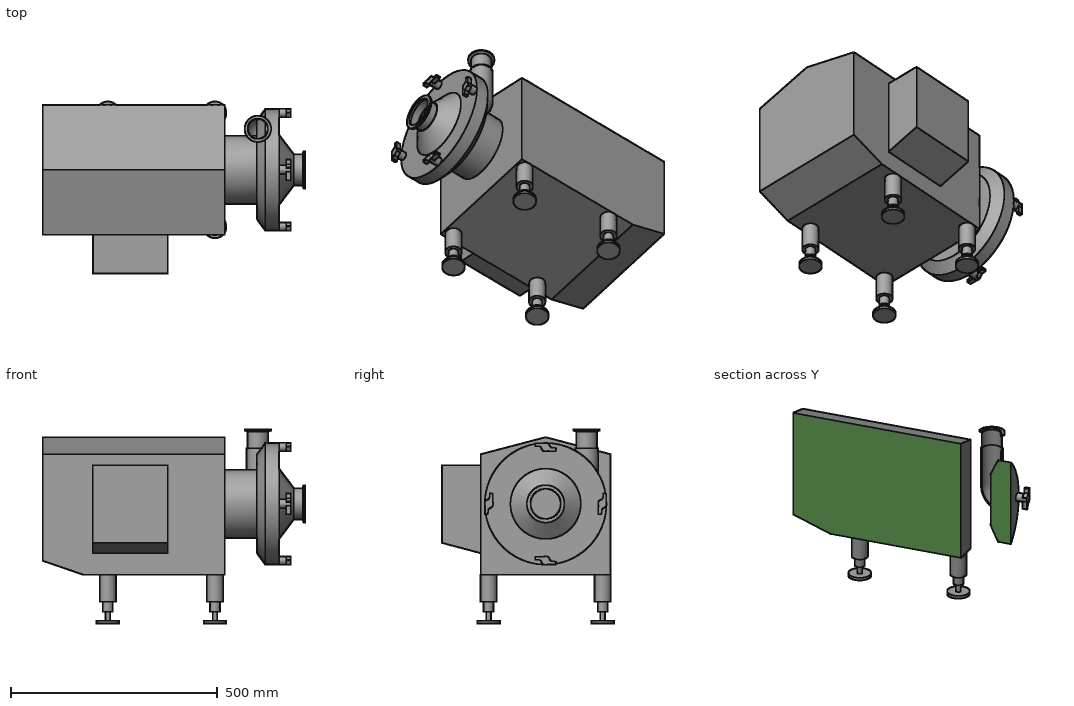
import cadquery as cq

total_length = 635.5
total_height = 470.0

housing_length = 441.0
housing_width = 314.5
housing_bottom = 118.0
eave_height = 410.0
ridge_height = 451.0
rear_slope_length = 98.0
rear_slope_top = 152.0

box_start = 121.5
box_length = 182.0
box_depth = 93.5
box_top = 383.0
box_inner_bottom = 170.0
box_outer_bottom = 195.0

foot_x_positions = (157.5, 417.0)
foot_y = 138.0
pad_diameter = 55.0
pad_thickness = 7.5
stem_diameter = 12.0
stem_top = 28.5
sleeve_diameter = 25.0
sleeve_top = 53.0
leg_diameter = 40.0

axis_height = 290.0
neck_diameter = 166.0
casing_back = 518.0
casing_back_diameter = 237.5
casing_rim = 538.0
casing_diameter = 294.0
casing_front = 572.0
cover_cone_diameter = 170.0
cover_cone_front = 607.5

inlet_diameter = 76.0
inlet_bore = 72.5
inlet_flange_diameter = 91.0
inlet_flange_cone_start = 628.5
inlet_flange_rim_start = 631.0

outlet_x = 520.5
outlet_y = 99.0
outlet_bore = 47.5
outlet_socket_diameter = 56.0
outlet_socket_top = 424.0
outlet_diameter = 51.0
outlet_flange_diameter = 64.0
outlet_flange_cone_start = 464.5
outlet_flange_rim_start = 467.0
outlet_bend_radius = 32.0

nut_count = 4
nut_circle_radius = 137.0
nut_hub_diameter = 21.0
wing_start = 589.0
nut_front = 600.5
wing_reach = 25.5
wing_outer_reach = 25.0
wing_side = 9.5
wing_tip_inner = 2.5
wing_root_inner = 1.0
wing_root = 13.5
wing_heel = 6.5


def make_housing():
    half_width = housing_width / 2
    gable = [
        (-half_width, housing_bottom),
        (half_width, housing_bottom),
        (half_width, eave_height),
        (0, ridge_height),
        (-half_width, eave_height),
    ]
    body = cq.Workplane("YZ").polyline(gable).close().extrude(housing_length)
    rear_wedge = [
        (0, housing_bottom),
        (rear_slope_length, housing_bottom),
        (0, rear_slope_top),
    ]
    wedge = cq.Workplane("XZ").polyline(rear_wedge).close().extrude(half_width, both=True)
    return body.cut(wedge)


def make_control_box():
    inner_y = -housing_width / 2
    outer_y = inner_y - box_depth
    profile = [
        (inner_y, box_inner_bottom),
        (inner_y, box_top),
        (outer_y, box_top),
        (outer_y, box_outer_bottom),
    ]
    return cq.Workplane("YZ", origin=(box_start, 0, 0)).polyline(profile).close().extrude(box_length)


def make_foot(x, y):
    profile = [
        (0, 0),
        (pad_diameter / 2, 0),
        (pad_diameter / 2, pad_thickness),
        (stem_diameter / 2, pad_thickness),
        (stem_diameter / 2, stem_top),
        (sleeve_diameter / 2, stem_top),
        (sleeve_diameter / 2, sleeve_top),
        (leg_diameter / 2, sleeve_top),
        (leg_diameter / 2, housing_bottom),
        (0, housing_bottom),
    ]
    return (
        cq.Workplane("XZ", origin=(x, y, 0))
        .polyline(profile)
        .close()
        .revolve(360, (0, 0, 0), (0, 1, 0))
    )


def make_casing():
    profile = [
        (housing_length, 0),
        (housing_length, neck_diameter / 2),
        (casing_back, neck_diameter / 2),
        (casing_back, casing_back_diameter / 2),
        (casing_rim, casing_diameter / 2),
        (casing_front, casing_diameter / 2),
        (casing_front, cover_cone_diameter / 2),
        (cover_cone_front, inlet_diameter / 2),
        (inlet_flange_cone_start, inlet_diameter / 2),
        (inlet_flange_rim_start, inlet_flange_diameter / 2),
        (total_length, inlet_flange_diameter / 2),
        (total_length, inlet_bore / 2),
        (cover_cone_front, inlet_bore / 2),
        (cover_cone_front, 0),
    ]
    return (
        cq.Workplane("XZ", origin=(0, 0, axis_height))
        .polyline(profile)
        .close()
        .revolve(360, (0, 0, 0), (1, 0, 0))
    )


def make_bent_rod(diameter, top):
    """Upright rod from the given top, turned toward +X so that it ends level with the pump axis."""
    bend_start = axis_height + outlet_bend_radius
    bend_plane = cq.Workplane("XY", origin=(outlet_x, outlet_y, bend_start))
    straight = bend_plane.circle(diameter / 2).extrude(top - bend_start)
    bend = bend_plane.circle(diameter / 2).revolve(
        90, (outlet_bend_radius, 0, 0), (outlet_bend_radius, -1, 0)
    )
    return straight.union(bend)


def make_outlet():
    pipe_radius = outlet_diameter / 2
    flange_radius = outlet_flange_diameter / 2
    pipe_profile = [
        (0, outlet_socket_top),
        (pipe_radius, outlet_socket_top),
        (pipe_radius, outlet_flange_cone_start),
        (flange_radius, outlet_flange_rim_start),
        (flange_radius, total_height),
        (0, total_height),
    ]
    pipe = (
        cq.Workplane("XZ", origin=(outlet_x, outlet_y, 0))
        .polyline(pipe_profile)
        .close()
        .revolve(360, (0, 0, 0), (0, 1, 0))
    )
    socket = make_bent_rod(outlet_socket_diameter, outlet_socket_top)
    return socket.union(pipe).cut(make_bent_rod(outlet_bore, total_height))


def make_wing_nut(angle):
    """Hub with two offset wings; half of the wing outline repeats after half a turn about the hub."""
    half_outline = [
        (wing_heel, wing_side),
        (-wing_outer_reach, wing_side),
        (-wing_reach, wing_tip_inner),
        (-wing_root, wing_root_inner),
    ]
    outline = half_outline + [(-along, -out) for along, out in half_outline]
    nut_height = axis_height + nut_circle_radius
    hub = (
        cq.Workplane("YZ", origin=(casing_front, 0, nut_height))
        .circle(nut_hub_diameter / 2)
        .extrude(nut_front - casing_front)
    )
    wings = (
        cq.Workplane("YZ", origin=(wing_start, 0, nut_height))
        .polyline(outline)
        .close()
        .extrude(nut_front - wing_start)
    )
    return hub.union(wings).rotate((0, 0, axis_height), (1, 0, axis_height), angle)


result = make_housing().union(make_control_box())

for foot_x in foot_x_positions:
    for side in (-1, 1):
        result = result.union(make_foot(foot_x, side * foot_y))

result = result.union(make_outlet()).union(make_casing())

for index in range(nut_count):
    result = result.union(make_wing_nut(index * 360 / nut_count))